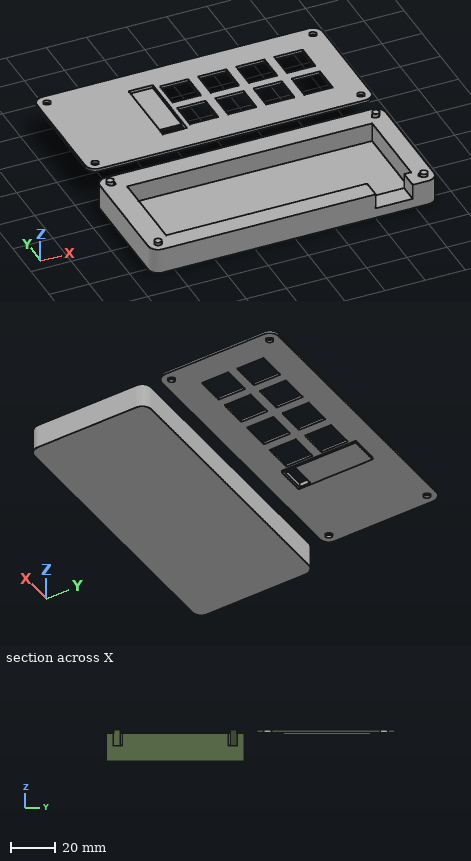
import cadquery as cq

LENGTH = 142.4
WIDTH = 62.8
CORNER_RADIUS = 5.0
LEFT = -LENGTH / 2
FRONT = -WIDTH / 2
BACK = WIDTH / 2

CASE_HEIGHT = 13.0
POCKET_LENGTH = 122.0
POCKET_WIDTH = 42.9
POCKET_DEPTH = 9.7
LEFT_WALL = 11.0
FRONT_WALL = 9.4
NOTCH_LENGTH = 18.4
NOTCH_DEPTH = 7.7
NOTCH_OFFSET = 111.1

PLATE_THICKNESS = 1.5
PLATE_SHIFT = -0.4
PLATE_GAP = 5.5
PLATE_HOLE_DIAMETER = 3.4

KEY_SIZE = 14.0
KEY_PITCH = 19.0
KEY_COLUMNS = 4
KEY_ROWS = 2
KEY_LEFT_MARGIN = 57.0
KEY_BACK_MARGIN = 14.4

WINDOW_LENGTH = 12.0
WINDOW_WIDTH = 37.5
WINDOW_LEFT_MARGIN = 42.4
WINDOW_BACK_MARGIN = 12.1
SHELF_OVERLAP = 1.1
SHELF_THICKNESS = 1.0
SHELF_OPENING = 5.7

PIN_DIAMETER = 3.4
PIN_PROJECTION = PLATE_THICKNESS
SEAT_DEPTH = 5.7
SEAT_FLOOR = CASE_HEIGHT - SEAT_DEPTH
CLEARANCE_HOLE_DIAMETER = 3.4
CLEARANCE_HOLE_OFFSET = 0.5


def corner_points(inset):
    """Four points at the given distance inside the sides of the outline."""
    x = LENGTH / 2 - inset
    y = WIDTH / 2 - inset
    return [(-x, -y), (x, -y), (-x, y), (x, y)]


def rounded_slab(height):
    slab = cq.Workplane("XY").box(LENGTH, WIDTH, height, centered=(True, True, False))
    return slab.edges("|Z").fillet(CORNER_RADIUS)


def block(corner, size):
    """Box with its left, front, bottom corner at the given point."""
    return cq.Workplane("XY").box(*size, centered=False).translate(corner)


def cylinders(points, diameter, bottom, height):
    plane = cq.Workplane("XY").workplane(offset=bottom)
    return plane.pushPoints(points).circle(diameter / 2).extrude(height)


def make_case():
    pocket = block(
        (LEFT + LEFT_WALL, FRONT + FRONT_WALL, CASE_HEIGHT - POCKET_DEPTH),
        (POCKET_LENGTH, POCKET_WIDTH, POCKET_DEPTH),
    )
    notch = block(
        (LEFT + NOTCH_OFFSET, FRONT, CASE_HEIGHT - NOTCH_DEPTH),
        (NOTCH_LENGTH, FRONT_WALL, NOTCH_DEPTH),
    )
    hole_points = corner_points(CORNER_RADIUS + CLEARANCE_HOLE_OFFSET)
    pin_seats = cylinders(corner_points(CORNER_RADIUS), PIN_DIAMETER, SEAT_FLOOR, SEAT_DEPTH)
    clearance_holes = cylinders(hole_points, CLEARANCE_HOLE_DIAMETER, SEAT_FLOOR, SEAT_DEPTH)
    return rounded_slab(CASE_HEIGHT).cut(pocket).cut(notch).cut(pin_seats).cut(clearance_holes)


def make_pin(point):
    return cylinders([point], PIN_DIAMETER, SEAT_FLOOR, SEAT_DEPTH + PIN_PROJECTION)


def cut_key_openings(plate):
    for column in range(KEY_COLUMNS):
        for row in range(KEY_ROWS):
            key_left = LEFT + KEY_LEFT_MARGIN + column * KEY_PITCH
            key_front = BACK - KEY_BACK_MARGIN - KEY_SIZE - row * KEY_PITCH
            opening = block((key_left, key_front, 0), (KEY_SIZE, KEY_SIZE, PLATE_THICKNESS))
            plate = plate.cut(opening)
    return plate


def add_shelved_window(plate):
    window_left = LEFT + WINDOW_LEFT_MARGIN
    window_front = BACK - WINDOW_BACK_MARGIN - WINDOW_WIDTH
    window = block(
        (window_left, window_front, 0),
        (WINDOW_LENGTH, WINDOW_WIDTH, PLATE_THICKNESS),
    )
    shelf = block(
        (window_left - SHELF_OVERLAP, window_front - SHELF_OVERLAP, -SHELF_THICKNESS),
        (WINDOW_LENGTH + 2 * SHELF_OVERLAP, WINDOW_WIDTH + 2 * SHELF_OVERLAP, SHELF_THICKNESS),
    )
    shelf_opening = block(
        (window_left, window_front, -SHELF_THICKNESS),
        (WINDOW_LENGTH, SHELF_OPENING, SHELF_THICKNESS),
    )
    return plate.cut(window).union(shelf.cut(shelf_opening))


def make_plate():
    holes = cylinders(corner_points(CORNER_RADIUS), PLATE_HOLE_DIAMETER, 0, PLATE_THICKNESS)
    plate = rounded_slab(PLATE_THICKNESS).cut(holes)
    plate = cut_key_openings(plate)
    plate = add_shelved_window(plate)
    return plate.translate((PLATE_SHIFT, WIDTH + PLATE_GAP, CASE_HEIGHT))


case = make_case().solids()
plate = make_plate().solids()
pins = [make_pin(point) for point in corner_points(CORNER_RADIUS)]

result = cq.Compound.makeCompound([case.val(), plate.val(), *[pin.val() for pin in pins]])